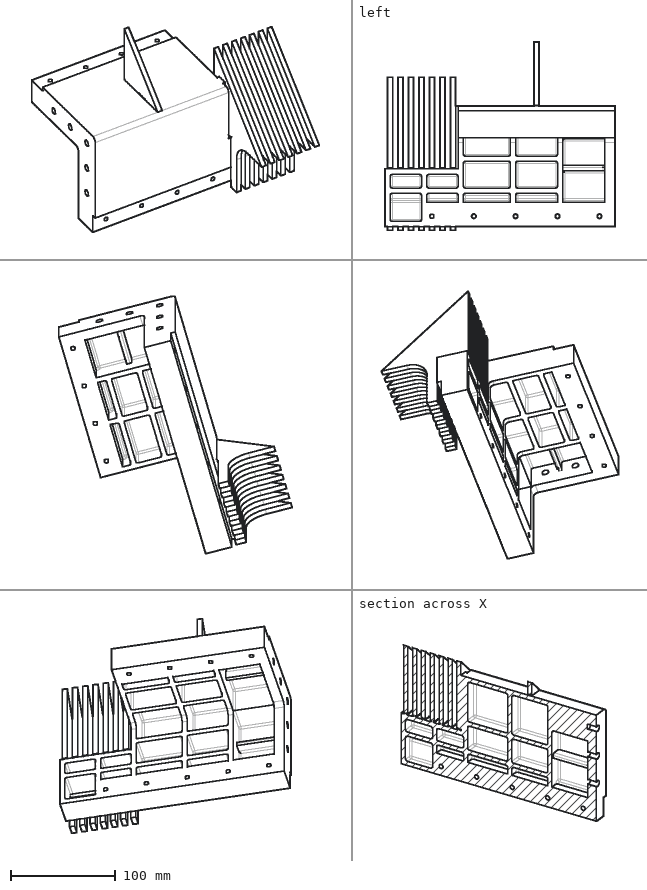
import cadquery as cq

SPAN = 115.5
LEG_THICK = 30.5
STEP_LENGTH = 20.0
STEP_DEPTH = 4.5
CORNER_RADIUS = 4.5
PLATE_WIDTH = 150.0
TOTAL_WIDTH = 220
SHELF_HEIGHT = 55.5
INNER = SPAN - LEG_THICK
LEG_MIDDLE = (INNER + SPAN) / 2

FLANGE_HOLE = 4.0
FLANGE_HOLE_INSET = STEP_LENGTH / 2
FLANGE_HOLE_FIRST = 15.0
FLANGE_HOLE_PITCH = 40.0
PLATE_HOLES = 4
UPRIGHT_HOLES = 5
END_HOLE = 6.2
END_HOLE_INSET = 15.5
END_HOLE_PITCH = 30.0
END_HOLES_PER_LEG = 3
END_HOLE_DEPTH = 10.0

RIB = 5.0
POCKET_MOUTH = INNER - CORNER_RADIUS
SKIN = 5.5
FLOOR_STEP = 4.0
STEP_RADIUS = FLOOR_STEP / 2
POCKET_RADIUS = 2.0
FLOOR_RADIUS = 1.87
DEEP_FLOOR = SPAN - SKIN
SHALLOW_FLOOR = DEEP_FLOOR - FLOOR_STEP
LOW_START = 23.3
LOW_END = 32.0
BACK_MID_END = 50.0
MID_END = 62.5
HIGH_START = MID_END + RIB
FRONT_POCKET_END = 84.3
FRONT_COLUMN = (10.0, 50.0)
PLATE_COLUMNS = ((55, 95.0), (100.0, 145.0))
BACK_COLUMNS = ((150.0, 180.0), (185.0, 215.0))
BAR_START = 53.7
BAR_HEIGHT = RIB
BAR_RISE = 10.0
BAR_TOP_RADIUS = 2.0
BAR_END_RADIUS = 2.0

FIN_THICK = 5.0
FIN_GAP = 0.5
SHELF_GAP = 1.0
FIN_COUNT = 7
FIN_PITCH = 10.0
FIN_FIRST = 152.5
FIN_REACH = 171.5
TAIL_WIDTH = 10.1
TAIL_RADIUS = 20.0
TAIL_DROP = 3.5
PLATE_FIN_LEFT = 51.3
EDGE_SUM = FIN_REACH + SHELF_HEIGHT + SHELF_GAP

PAD_LENGTH = 11.5
PAD_WIDTH = 4.0
PAD_TAPER = 45
WEB_LENGTH = 10.1
WEB_FLARE = 0.77


def extrude_y(sketch, y_start, y_end):
    """Extrude an XZ outline drawn on the default plane from y_start to y_end."""
    return sketch.extrude(-(y_end - y_start)).translate((0, y_start, 0))


def box(x0, x1, y0, y1, z0, z1):
    return cq.Workplane("XY").box(x1 - x0, y1 - y0, z1 - z0, centered=False).translate((x0, y0, z0))


def across_legs(shape):
    """The same shape on the other leg."""
    return shape.mirror((1, 0, -1))


def make_bracket():
    outline = cq.Workplane("XZ").polyline([
        (0, INNER), (0, SPAN - STEP_DEPTH), (STEP_LENGTH, SPAN - STEP_DEPTH), (STEP_LENGTH, SPAN),
        (SPAN, SPAN), (SPAN, STEP_LENGTH), (SPAN - STEP_DEPTH, STEP_LENGTH), (SPAN - STEP_DEPTH, 0),
        (INNER, 0), (INNER, INNER),
    ]).close()
    bracket = extrude_y(outline, 0, TOTAL_WIDTH)
    for corner in (INNER, SPAN):
        near = cq.selectors.NearestToPointSelector((corner, TOTAL_WIDTH / 2, corner))
        bracket = bracket.edges("|Y").edges(near).fillet(CORNER_RADIUS)
    return bracket.cut(box(0, SPAN, PLATE_WIDTH, TOTAL_WIDTH, SHELF_HEIGHT, SPAN))


def flange_holes(count):
    """Row of holes through the free end of the upright leg."""
    points = [(FLANGE_HOLE_FIRST + i * FLANGE_HOLE_PITCH, FLANGE_HOLE_INSET) for i in range(count)]
    return (
        cq.Workplane("YZ", origin=(INNER, 0, 0)).pushPoints(points)
        .circle(FLANGE_HOLE / 2).extrude(LEG_THICK)
    )


def end_holes():
    """Blind holes in the front end face, along the middle of the upright leg."""
    middle = SPAN - END_HOLE_INSET
    points = [(middle, middle - i * END_HOLE_PITCH) for i in range(END_HOLES_PER_LEG)]
    return extrude_y(cq.Workplane("XZ").pushPoints(points).circle(END_HOLE / 2), 0, END_HOLE_DEPTH)


def plain_pocket(column, z0, z1):
    pocket = box(POCKET_MOUTH, DEEP_FLOOR, *column, z0, z1)
    return pocket.edges("|X").fillet(POCKET_RADIUS).faces(">X").edges().fillet(FLOOR_RADIUS)


def stepped_pocket(column, z1, z0=LOW_START):
    """Pocket whose floor rises in an S curve at LOW_START; z0 may lie below the rise."""
    middle_x = DEEP_FLOOR - STEP_RADIUS
    middle_z = LOW_START + STEP_RADIUS
    outline = cq.Workplane("XZ").moveTo(POCKET_MOUTH, z0).lineTo(SHALLOW_FLOOR, z0)
    if z0 < LOW_START:
        outline = outline.lineTo(SHALLOW_FLOOR, LOW_START)
    outline = (
        outline.radiusArc((middle_x, middle_z), STEP_RADIUS)
        .radiusArc((DEEP_FLOOR, middle_z + STEP_RADIUS), -STEP_RADIUS)
        .lineTo(DEEP_FLOOR, z1).lineTo(POCKET_MOUTH, z1).close()
    )
    round_corners = "|X" if z0 < LOW_START else "|X and >Z"
    pocket = extrude_y(outline, *column).edges(round_corners).fillet(POCKET_RADIUS)
    return pocket.faces(">X").edges(">Z").fillet(FLOOR_RADIUS)


def low_back_pocket(column, z0=LOW_START):
    """Stepped pocket without a fillet between its floor and its upper end."""
    taller = stepped_pocket(column, LOW_END + 2 * POCKET_RADIUS, z0)
    limit = box(POCKET_MOUTH, SPAN, *column, z0, LOW_END)
    return taller.intersect(limit.edges("|X and >Z").fillet(POCKET_RADIUS))


def corner_pocket(column):
    """Pocket that bridges the inner corner and opens into both legs."""
    corner = box(HIGH_START, DEEP_FLOOR, *column, HIGH_START, DEEP_FLOOR)
    return corner.edges().fillet(FLOOR_RADIUS)


def front_bar():
    """Low bar across the front pocket, rounded above and filleted at its lower foot and front end."""
    y0, y1 = FRONT_COLUMN
    top_x = DEEP_FLOOR - BAR_RISE
    bar_end = BAR_START + BAR_HEIGHT
    outline = (
        cq.Workplane("XZ").moveTo(DEEP_FLOOR, BAR_START - FLOOR_RADIUS)
        .radiusArc((DEEP_FLOOR - FLOOR_RADIUS, BAR_START), -FLOOR_RADIUS)
        .lineTo(top_x, BAR_START).lineTo(top_x, bar_end - BAR_TOP_RADIUS)
        .radiusArc((top_x + BAR_TOP_RADIUS, bar_end), BAR_TOP_RADIUS)
        .lineTo(DEEP_FLOOR, bar_end).close()
    )
    bar = extrude_y(outline, y0, y1)
    foot = (
        cq.Workplane("XY", origin=(0, 0, BAR_START))
        .moveTo(top_x, y0 + BAR_END_RADIUS).radiusArc((top_x - BAR_END_RADIUS, y0), BAR_END_RADIUS)
        .lineTo(top_x, y0).close().extrude(BAR_HEIGHT - BAR_TOP_RADIUS)
    )
    return bar.union(foot)


def front_pocket():
    """Pocket with a square front wall, divided by the low bar."""
    y0, y1 = FRONT_COLUMN
    wider = stepped_pocket((y0 - 2 * POCKET_RADIUS, y1), FRONT_POCKET_END)
    return wider.intersect(box(POCKET_MOUTH, SPAN, y0, y1, 0, SPAN)).cut(front_bar())


def plate_pockets():
    """Pockets of the upright leg that are repeated in the plate."""
    pockets = [front_pocket()]
    for column in PLATE_COLUMNS:
        pockets.append(stepped_pocket(column, LOW_END))
        pockets.append(plain_pocket(column, LOW_END + RIB, MID_END))
    return pockets


def back_pockets():
    """Pockets of the upright leg below the shelf; the rearmost low one runs on downwards."""
    inner_column, rear_column = BACK_COLUMNS
    pockets = [low_back_pocket(inner_column), low_back_pocket(rear_column, RIB)]
    for column in BACK_COLUMNS:
        pockets.append(plain_pocket(column, LOW_END + RIB, BACK_MID_END))
    return pockets


def make_plate_fin():
    base = SPAN + FIN_GAP
    y0 = (PLATE_WIDTH - FIN_THICK) / 2
    outline = cq.Workplane("XZ").polyline([
        (PLATE_FIN_LEFT, base), (PLATE_FIN_LEFT, EDGE_SUM - PLATE_FIN_LEFT), (EDGE_SUM - base, base),
    ]).close()
    return extrude_y(outline, y0, y0 + FIN_THICK)


def make_shelf_fin(y0):
    base = SHELF_HEIGHT + SHELF_GAP
    tail_left = SPAN + FIN_GAP
    tail_right = tail_left + TAIL_WIDTH
    outline = (
        cq.Workplane("XZ").moveTo(INNER, base).lineTo(INNER, EDGE_SUM - INNER)
        .lineTo(EDGE_SUM - base, base).lineTo(tail_right + TAIL_RADIUS, base)
        .radiusArc((tail_right, base - TAIL_RADIUS), -TAIL_RADIUS)
        .lineTo(tail_right, -TAIL_DROP).lineTo(tail_left, -TAIL_DROP).lineTo(tail_left, base).close()
    )
    return extrude_y(outline, y0, y0 + FIN_THICK)


def make_pad(x, y, z, height):
    """Tapered bridge from a face at height z up to the fin above it."""
    return (
        cq.Workplane("XY", origin=(x, y, z)).rect(PAD_LENGTH, PAD_WIDTH)
        .extrude(height, taper=PAD_TAPER)
    )


def make_web():
    """Flared upright bridge between the plate end and the first shelf fin."""
    near = WEB_LENGTH / 2
    far = near + WEB_FLARE
    return (
        cq.Workplane("XY", origin=(LEG_MIDDLE, 0, SHELF_HEIGHT))
        .polyline([(-near, PLATE_WIDTH), (near, PLATE_WIDTH), (far, FIN_FIRST), (-far, FIN_FIRST)])
        .close().extrude(SPAN - SHELF_HEIGHT)
    )


result = make_bracket()
result = result.cut(flange_holes(UPRIGHT_HOLES)).cut(across_legs(flange_holes(PLATE_HOLES)))
result = result.cut(end_holes()).cut(across_legs(end_holes()))
for pocket in plate_pockets():
    result = result.cut(pocket).cut(across_legs(pocket))
for column in PLATE_COLUMNS:
    result = result.cut(corner_pocket(column))
for pocket in back_pockets():
    result = result.cut(pocket)

plate_fin_middle = (PLATE_FIN_LEFT + EDGE_SUM - SPAN) / 2
result = result.union(make_plate_fin()).union(make_pad(plate_fin_middle, PLATE_WIDTH / 2, SPAN, FIN_GAP))
for i in range(FIN_COUNT):
    fin_y = FIN_FIRST + i * FIN_PITCH
    pad = make_pad(LEG_MIDDLE, fin_y + FIN_THICK / 2, SHELF_HEIGHT, SHELF_GAP)
    result = result.union(make_shelf_fin(fin_y)).union(pad)
result = result.union(make_web())